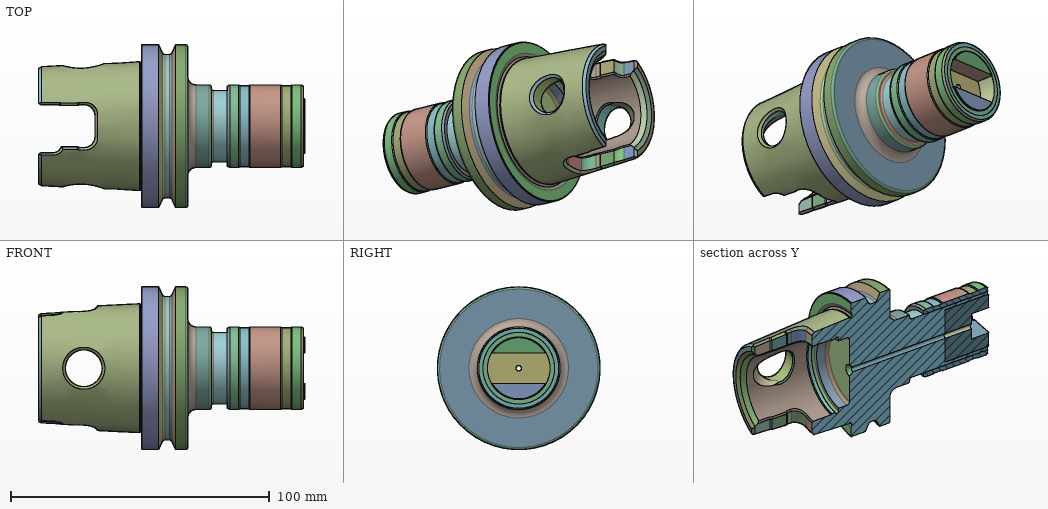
import cadquery as cq
import math


tip_bore_radius = 18.8
tip_face_inner_radius = 20.4
tip_face_outer_radius = 22.3
tip_outer_chamfer_length = 1.2
taper_end_x = 38.95
taper_end_radius = 24.95
taper_slope = 0.05
taper_start_radius = taper_end_radius - taper_slope * (taper_end_x - tip_outer_chamfer_length)
relief_radius = 24.7
relief_bevel_length = 0.35

flange_radius = 31.475
flange_face_x = 39.7
flange_width = 18.0
flange_back_x = flange_face_x + flange_width
flange_front_chamfer = 0.3
flange_back_fillet = 0.9
face_groove_outer_radius = 27.0
face_groove_inner_radius = 25.7
face_groove_depth = 0.4
relief_floor_length = 0.3
vee_left_x = 46.45
vee_right_x = 52.95
vee_floor_radius = 27.75
vee_wall_angle = 25.0
vee_fillet = 1.0

collar_radius = 16.0
collar_root_fillet = 3.2
collar_face_x = 66.75
collar_edge_fillet = 0.8
neck_radius = 13.85
neck_root_fillet = 0.8

lead_chamfer_length = 1.0
lead_cone_end_x = 3.0
bore_radius = 17.5
inner_rim_chamfer = 0.5
lip_start_x = 30.6
lip_bevel_length = 0.4
lip_end_x = 32.6
lip_radius = 17.2
undercut_depth = 0.6
bore_ledge_x = 34.0
pocket_radius = 15.7
pocket_floor_x = 39.0
pocket_floor_fillet = 1.2
coolant_hole_radius = 1.0
coolant_countersink_radius = 2.55

slot_half_width = 7.9
slot_relief_half_width = 8.2
slot_end_x = 21.75
slot_tip_chamfer = 0.9
slot_corner_radius = 4.0
slot_land_start_x = 8.5
slot_land_end_x = 15.2
slot_step_length = 0.6
slot_wide_half_width = 10.2
slot_wide_end_x = 5.6
slot_wide_arc_end_x = 8.8
ball_hole_x = 17.5
ball_hole_radius = 7.05
rim_chamfer = 1.1
ball_flare_angle = 50.0
ball_flare_depth = 0.3

sleeve_start_x = 72.9
sleeve_end_x = 102.4
sleeve_radius = 16.0
sleeve_chamfer_length = 1.0
sleeve_chamfer_depth = 0.55
band_radius = 15.7
band_wall_length = 0.45
band_spans = [(77.3, 81.7), (93.55, 97.9)]

spindle_end_x = 102.95
spindle_radius = 12.1
spindle_length = 20.0
spindle_chamfer = 0.3
spindle_start_x = spindle_end_x - spindle_length
spindle_slot_width = 11.6
spindle_slot_depth = 8.0


def turned(profile):
    """Revolve a closed half profile, drawn in XZ with Z as radius, about the X axis."""
    return profile.close().revolve(360, (0, 0, 0), (1, 0, 0))


def rod(start_x, end_x, radius):
    return cq.Workplane("YZ", origin=(start_x, 0, 0)).circle(radius).extrude(end_x - start_x)


def holder_blank():
    vee_wall_run = (flange_radius - vee_floor_radius) * math.tan(math.radians(vee_wall_angle))
    profile = (
        cq.Workplane("XZ")
        .moveTo(0, 0)
        .lineTo(0, tip_face_outer_radius)
        .lineTo(tip_outer_chamfer_length, taper_start_radius)
        .lineTo(taper_end_x, taper_end_radius)
        .lineTo(taper_end_x + relief_bevel_length, relief_radius)
        .lineTo(taper_end_x + relief_bevel_length + relief_floor_length, relief_radius)
        .lineTo(flange_face_x + face_groove_depth, face_groove_inner_radius)
        .lineTo(flange_face_x, face_groove_outer_radius)
        .lineTo(flange_face_x, flange_radius - flange_front_chamfer)
        .lineTo(flange_face_x + flange_front_chamfer, flange_radius)
        .lineTo(vee_left_x, flange_radius)
        .lineTo(vee_left_x + vee_wall_run, vee_floor_radius)
        .lineTo(vee_right_x - vee_wall_run, vee_floor_radius)
        .lineTo(vee_right_x, flange_radius)
        .lineTo(flange_back_x, flange_radius)
        .lineTo(flange_back_x, collar_radius)
        .lineTo(collar_face_x, collar_radius)
        .lineTo(collar_face_x, neck_radius)
        .lineTo(sleeve_end_x, neck_radius)
        .lineTo(sleeve_end_x, 0)
    )
    blank = turned(profile)

    def ring_edge(x, radius):
        tolerance = 0.01

        def matches(edge):
            if edge.geomType() != "CIRCLE":
                return False
            return abs(edge.Center().x - x) < tolerance and abs(edge.radius() - radius) < tolerance

        return matches

    for x, radius, fillet in [
        (vee_left_x + vee_wall_run, vee_floor_radius, vee_fillet),
        (vee_right_x - vee_wall_run, vee_floor_radius, vee_fillet),
        (flange_back_x, flange_radius, flange_back_fillet),
        (flange_back_x, collar_radius, collar_root_fillet),
        (collar_face_x, collar_radius, collar_edge_fillet),
        (collar_face_x, neck_radius, neck_root_fillet),
    ]:
        blank = blank.edges().filter(ring_edge(x, radius)).fillet(fillet)
    return blank


def holder_bore():
    fillet_middle = pocket_floor_fillet * math.sqrt(0.5)
    profile = (
        cq.Workplane("XZ")
        .moveTo(0, 0)
        .lineTo(0, tip_face_inner_radius)
        .lineTo(lead_chamfer_length, tip_bore_radius)
        .lineTo(lead_cone_end_x, bore_radius)
        .lineTo(lip_start_x, bore_radius)
        .lineTo(lip_start_x + lip_bevel_length, lip_radius)
        .lineTo(lip_end_x, lip_radius)
        .threePointArc(
            ((lip_end_x + bore_ledge_x) / 2, lip_radius + undercut_depth),
            (bore_ledge_x, lip_radius),
        )
        .lineTo(bore_ledge_x, pocket_radius)
        .lineTo(pocket_floor_x - pocket_floor_fillet, pocket_radius)
        .threePointArc(
            (
                pocket_floor_x - pocket_floor_fillet + fillet_middle,
                pocket_radius - pocket_floor_fillet + fillet_middle,
            ),
            (pocket_floor_x, pocket_radius - pocket_floor_fillet),
        )
        .lineTo(pocket_floor_x, coolant_countersink_radius)
        .lineTo(pocket_floor_x + coolant_countersink_radius - coolant_hole_radius, coolant_hole_radius)
        .lineTo(spindle_end_x, coolant_hole_radius)
        .lineTo(spindle_end_x, 0)
    )
    return turned(profile)


def drive_slot():
    """Plan of both slots, open at the tip, with a wider mouth on the -Y side."""
    land_in_x = slot_land_start_x - slot_step_length
    land_out_x = slot_land_end_x + slot_step_length
    mouth_rise = slot_wide_half_width - slot_half_width
    mouth_run = slot_wide_arc_end_x - slot_wide_end_x
    mouth_arc_radius = (mouth_run**2 + mouth_rise**2) / (2 * mouth_rise)
    half_sweep = math.asin(mouth_run / mouth_arc_radius) / 2
    mouth_arc_middle = (
        slot_wide_end_x + mouth_arc_radius * math.sin(half_sweep),
        -slot_wide_half_width + mouth_arc_radius * (1 - math.cos(half_sweep)),
    )
    corner_x = slot_end_x - slot_corner_radius
    corner_y = slot_relief_half_width - slot_corner_radius
    corner_middle = slot_corner_radius * math.sqrt(0.5)
    open_x = -slot_corner_radius
    return (
        cq.Workplane("XY", origin=(0, 0, -flange_radius))
        .moveTo(open_x, -slot_wide_half_width - slot_tip_chamfer)
        .lineTo(0, -slot_wide_half_width - slot_tip_chamfer)
        .lineTo(slot_tip_chamfer, -slot_wide_half_width)
        .lineTo(slot_wide_end_x, -slot_wide_half_width)
        .threePointArc(mouth_arc_middle, (slot_wide_arc_end_x, -slot_half_width))
        .lineTo(slot_land_end_x, -slot_half_width)
        .lineTo(land_out_x, -slot_relief_half_width)
        .lineTo(corner_x, -slot_relief_half_width)
        .threePointArc((corner_x + corner_middle, -corner_y - corner_middle), (slot_end_x, -corner_y))
        .lineTo(slot_end_x, corner_y)
        .threePointArc(
            (corner_x + corner_middle, corner_y + corner_middle),
            (corner_x, slot_relief_half_width),
        )
        .lineTo(land_out_x, slot_relief_half_width)
        .lineTo(slot_land_end_x, slot_half_width)
        .lineTo(slot_land_start_x, slot_half_width)
        .lineTo(land_in_x, slot_relief_half_width)
        .lineTo(slot_tip_chamfer, slot_relief_half_width)
        .lineTo(0, slot_relief_half_width + slot_tip_chamfer)
        .lineTo(open_x, slot_relief_half_width + slot_tip_chamfer)
        .close()
        .extrude(2 * flange_radius)
    )


def ball_hole():
    return (
        cq.Workplane("XZ", origin=(ball_hole_x, flange_radius, 0))
        .circle(ball_hole_radius)
        .extrude(2 * flange_radius)
    )


def ball_flare(side):
    """Angled hole that opens one ball hole towards the tip inside the bore; side is +1 or -1 along Y."""
    angle = math.radians(ball_flare_angle)
    start = cq.Vector(ball_hole_x, side * (bore_radius + ball_flare_depth), 0)
    inward = cq.Vector(-math.sin(angle), -side * math.cos(angle), 0)
    return cq.Workplane(cq.Plane(start, (0, 0, 1), inward)).circle(ball_hole_radius).extrude(bore_radius)


def opening_edges(holder, face_kind, start_x, end_x):
    """Rims that the slots and ball holes leave on the shank surface spanning start_x to end_x."""
    tolerance = 0.01
    clearance = 1.0

    def is_surface(face):
        box = face.BoundingBox()
        return abs(box.xmin - start_x) < tolerance and abs(box.xmax - end_x) < tolerance

    def is_rim(edge):
        box = edge.BoundingBox()
        return start_x + clearance < box.xmax < end_x - clearance

    return holder.faces(face_kind).filter(is_surface).edges().filter(is_rim)


def build_holder():
    holder = holder_blank().cut(holder_bore()).cut(drive_slot()).cut(ball_hole())
    holder = opening_edges(holder, "%CONE", tip_outer_chamfer_length, taper_end_x).chamfer(rim_chamfer)
    holder = opening_edges(holder, "%CYLINDER", lead_cone_end_x, lip_start_x).chamfer(inner_rim_chamfer)
    for side in (1, -1):
        holder = holder.cut(ball_flare(side))
    spindle_recess = rod(spindle_start_x, sleeve_end_x, spindle_radius)
    return holder.cut(spindle_recess)


def build_sleeve():
    profile = (
        cq.Workplane("XZ")
        .moveTo(sleeve_start_x, neck_radius)
        .lineTo(sleeve_start_x, sleeve_radius - sleeve_chamfer_depth)
        .lineTo(sleeve_start_x + sleeve_chamfer_length, sleeve_radius)
    )
    for band_start_x, band_end_x in band_spans:
        profile = (
            profile.lineTo(band_start_x, sleeve_radius)
            .lineTo(band_start_x + band_wall_length, band_radius)
            .lineTo(band_end_x - band_wall_length, band_radius)
            .lineTo(band_end_x, sleeve_radius)
        )
    profile = (
        profile.lineTo(sleeve_end_x - sleeve_chamfer_length, sleeve_radius)
        .lineTo(sleeve_end_x, sleeve_radius - sleeve_chamfer_depth)
        .lineTo(sleeve_end_x, neck_radius)
    )
    return turned(profile)


def build_drive_spindle():
    """Spindle whose end carries two lugs either side of a slot along Y."""
    spindle = rod(spindle_start_x, spindle_end_x, spindle_radius).faces(">X").chamfer(spindle_chamfer)
    slot_length = 4 * spindle_radius
    slot = cq.Workplane("XY").box(2 * spindle_slot_depth, slot_length, spindle_slot_width)
    coolant_hole = rod(spindle_start_x, spindle_end_x, coolant_hole_radius)
    return spindle.cut(slot.translate((spindle_end_x, 0, 0))).cut(coolant_hole)


holder = build_holder()
sleeve = build_sleeve()
drive_spindle = build_drive_spindle()

result = cq.Compound.makeCompound([holder.val(), sleeve.val(), drive_spindle.val()])